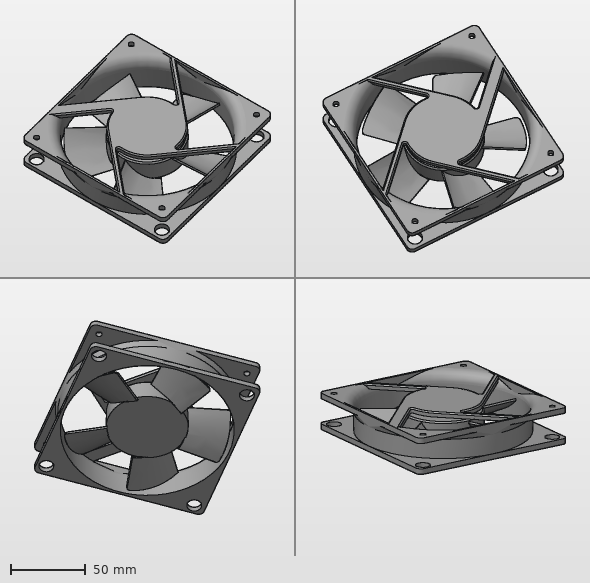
import cadquery as cq
import math

side = 119.8
height = 25.6
flange_thickness = 4.0
corner_radius = 4.0
wall_radius = side / 2
throat_radius = 58.1
rim_thickness = 1.5
bell_radius = 8.1
bell_start = height - bell_radius
bell_center = throat_radius + bell_radius
opening_side = side - 2 * rim_thickness

hole_start = (52.5, -52.5)
hole_pitch = 105.0
pattern_turn = 0.35
top_hole_diameter = 4.0
bottom_hole_diameter = 10.0

hub_radius = 27.0
mount_thickness = 3.6
arm_width = 4.0
cable_arm_width = 9.0
arm_corner_radius = 1.3
mount_chamfer = 1.0

rotor_radius = 27.4
rotor_bottom = 3.5
rotor_top = 18.9
rotor_chamfer = 1.1
blade_count = 5
blade_turn = -4.5
blade_tip_radius = 55.7
blade_thickness = 1.4
blade_high = 17.3
blade_low = 1.7
blade_middle = 6.3
blade_corner_radius = 3.6
root_half_angle = 26.0
tip_half_angle = 18.0
root_overlap = 0.6


def plate(width, bottom, thickness):
    return cq.Workplane("XY").workplane(offset=bottom).rect(width, width).extrude(thickness)


def flange(bottom):
    return plate(side, bottom, flange_thickness).edges("|Z").fillet(corner_radius)


def bell(start_radius, top):
    """Solid of revolution that flares from start_radius along a circle around the bell center."""
    arc_radius = bell_center - start_radius
    rise = top - bell_start
    end_angle = math.asin(min(1.0, rise / arc_radius))
    middle = (
        bell_center - arc_radius * math.cos(end_angle / 2),
        bell_start + arc_radius * math.sin(end_angle / 2),
    )
    end = (bell_center - arc_radius * math.cos(end_angle), top)
    return (
        cq.Workplane("XZ")
        .moveTo(0, bell_start)
        .lineTo(start_radius, bell_start)
        .threePointArc(middle, end)
        .lineTo(0, top)
        .close()
        .revolve(360, (0, 0, 0), (0, 1, 0))
    )


def cylinder(radius, bottom, top):
    return cq.Workplane("XY").workplane(offset=bottom).circle(radius).extrude(top - bottom)


def mounting_holes(diameter, bottom):
    turn = math.radians(pattern_turn)
    along = (math.cos(turn) * hole_pitch, math.sin(turn) * hole_pitch)
    centers = [
        (hole_start[0] - i * along[0] - j * along[1], hole_start[1] - i * along[1] + j * along[0])
        for i in range(2)
        for j in range(2)
    ]
    return (
        cq.Workplane("XY")
        .workplane(offset=bottom)
        .pushPoints(centers)
        .circle(diameter / 2)
        .extrude(flange_thickness)
    )


def arm(width, angle):
    """Bar whose outer side is tangent to the mount plate and which runs out to the housing wall."""
    return (
        cq.Workplane("XY")
        .box(width, side, mount_thickness, centered=(False, False, False))
        .translate((hub_radius - width, 0, height - mount_thickness))
        .rotate((0, 0, 0), (0, 0, 1), angle)
    )


def inner_corner(width, angle):
    """Point where the inner side of an arm meets the edge of the mount plate."""
    offset = hub_radius - width
    bearing = math.radians(angle) + math.acos(offset / hub_radius)
    return (
        hub_radius * math.cos(bearing),
        hub_radius * math.sin(bearing),
        height - mount_thickness / 2,
    )


def motor_mount():
    arms = [(arm_width, -135), (arm_width, -45), (arm_width, 45), (cable_arm_width, 135)]
    mount = cylinder(hub_radius, height - mount_thickness, height)
    for width, angle in arms:
        mount = mount.union(arm(width, angle))
    for width, angle in arms:
        corner = cq.selectors.NearestToPointSelector(inner_corner(width, angle))
        mount = mount.edges("|Z").edges(corner).fillet(arm_corner_radius)
    mount = mount.faces(">Z").chamfer(mount_chamfer)
    return mount.intersect(plate(side - rim_thickness, 0, height))


def make_housing():
    top_flange = height - flange_thickness
    body = flange(0).union(flange(top_flange))
    body = body.union(cylinder(wall_radius, 0, bell_start))
    body = body.union(bell(wall_radius, top_flange).intersect(plate(side, 0, height)))
    body = body.cut(cylinder(throat_radius, 0, bell_start))
    body = body.cut(bell(throat_radius, height).intersect(plate(opening_side, 0, height)))
    body = body.cut(mounting_holes(bottom_hole_diameter, 0))
    body = body.cut(mounting_holes(top_hole_diameter, top_flange))
    return body.union(motor_mount())


def blade_half_width(distance):
    """Half the blade width at a distance from the axis; both edges are straight lines."""
    root = math.radians(root_half_angle)
    tip = math.radians(tip_half_angle)
    root_width = rotor_radius * math.sin(root)
    tip_width = blade_tip_radius * math.sin(tip)
    root_distance = rotor_radius * math.cos(root)
    tip_distance = blade_tip_radius * math.cos(tip)
    slope = (tip_width - root_width) / (tip_distance - root_distance)
    return root_width + slope * (distance - root_distance)


def blade_section(distance):
    """Closed arc-shaped section across the blade, in the plane Y = distance."""
    half = blade_half_width(distance)
    drop = math.atan2(blade_high - blade_low, 2 * half)
    high, middle, low = [
        cq.Vector(x, distance, z) for x, z in ((half, blade_high), (0, blade_middle), (-half, blade_low))
    ]
    shift = cq.Vector(blade_thickness * math.sin(drop), 0, -blade_thickness * math.cos(drop))
    return cq.Wire.assembleEdges(
        [
            cq.Edge.makeThreePointArc(high, middle, low),
            cq.Edge.makeLine(low, low + shift),
            cq.Edge.makeThreePointArc(low + shift, middle + shift, high + shift),
            cq.Edge.makeLine(high + shift, high),
        ]
    )


def blade_footprint():
    """Upright prism that trims a blade to the tip circle and rounds its low corner."""
    tip = math.radians(tip_half_angle)
    low_corner = (-blade_tip_radius * math.sin(tip), blade_tip_radius * math.cos(tip))
    return (
        cq.Workplane("XY")
        .moveTo(-blade_half_width(0), 0)
        .lineTo(*low_corner)
        .threePointArc((0, blade_tip_radius), (blade_tip_radius, 0))
        .close()
        .extrude(height)
        .edges(cq.selectors.NearestToPointSelector((*low_corner, height / 2)))
        .fillet(blade_corner_radius)
    )


def make_blade():
    sections = [blade_section(rotor_radius / 2), blade_section(side / 2)]
    blade = cq.Workplane(cq.Solid.makeLoft(sections, True)).intersect(blade_footprint())
    return blade.cut(cylinder(rotor_radius - root_overlap, 0, height))


def make_impeller():
    rotor = cylinder(rotor_radius, rotor_bottom, rotor_top).faces(">Z").chamfer(rotor_chamfer)
    blade = make_blade()
    for i in range(blade_count):
        turn = blade_turn + i * 360 / blade_count
        rotor = rotor.union(blade.rotate((0, 0, 0), (0, 0, 1), turn))
    return rotor


housing = make_housing()
impeller = make_impeller()
result = cq.Compound.makeCompound([housing.val(), impeller.val()])